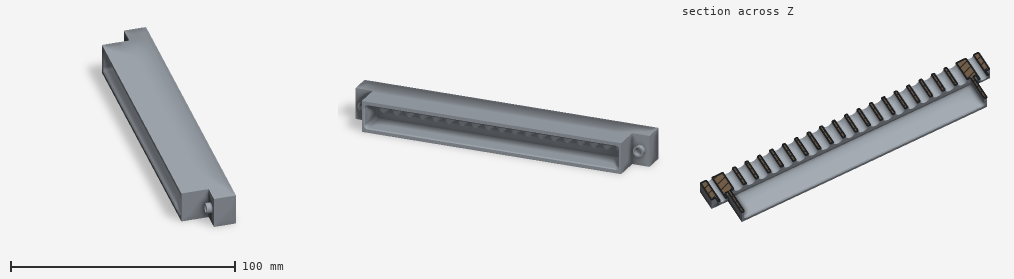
import cadquery as cq

length = 142.2
depth = 22.9
height = 15.0

ear_length = 8.4
ear_thickness = 10.2

end_wall = 1.4
side_wall = 2.1
cavity_depth = depth - ear_thickness
cavity_corner_radius = 1.5
mouth_chamfer = 0.5

contact_count = 19
contact_row_span = 114.4
contact_diameter = 4.8
contact_pitch = contact_row_span / (contact_count - 1)

stud_inset = 4.5
stud_diameter = 5.0
stud_length = 2.5
left_bore_diameter = 2.8
right_bore_diameter = 3.7

shroud_length = length - 2 * ear_length
cavity_length = shroud_length - 2 * end_wall
cavity_height = height - 2 * side_wall
stud_x = length / 2 - stud_inset


def block(size_x, size_y, size_z, front_y):
    """Box centred on X and Z that starts at front_y and extends toward +Y."""
    return cq.Workplane("XY").box(size_x, size_y, size_z).translate((0, front_y + size_y / 2, 0))


def rod(x, diameter, front_y, back_y):
    """Cylinder along Y at height zero, between two Y positions."""
    plane = cq.Workplane("XZ", origin=(x, back_y, 0))
    return plane.circle(diameter / 2).extrude(back_y - front_y)


def make_body():
    ears = block(length, ear_thickness, height, -ear_thickness)
    shroud = block(shroud_length, depth, height, -depth)
    return ears.union(shroud)


def make_cavity():
    """Pocket with rounded corners along its depth."""
    pocket = block(cavity_length, cavity_depth, cavity_height, -depth)
    return pocket.edges("|Y").fillet(cavity_corner_radius)


def chamfer_mouth(body):
    """Bevel the inner edge loop of the front face."""
    front_face = body.faces("<Y").val()
    mouth_edges = front_face.innerWires()[0].Edges()
    return body.newObject(mouth_edges).chamfer(mouth_chamfer)


result = make_body().cut(make_cavity())
result = chamfer_mouth(result)

for index in range(contact_count):
    contact_x = -contact_row_span / 2 + index * contact_pitch
    result = result.cut(rod(contact_x, contact_diameter, -depth, 0))

stud_front = -ear_thickness - stud_length
for x, bore_diameter in ((-stud_x, left_bore_diameter), (stud_x, right_bore_diameter)):
    result = result.union(rod(x, stud_diameter, stud_front, -ear_thickness))
    result = result.cut(rod(x, bore_diameter, stud_front, 0))